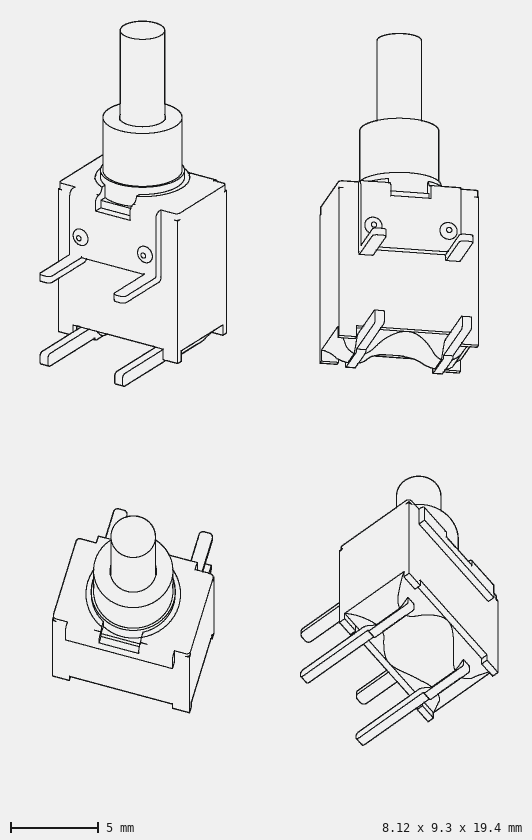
import cadquery as cq
import math


CASE_X = 8.12
CASE_Y = 5.08
CASE_BOTTOM = 0.55
RECESS_TOP = 1.2
FOOT_X = 1.0
FOOT_Y = 0.39

SHEET = 0.4
COVER_TOP = 9.85
COVER_CORNER_RADIUS = 0.23
BEND_RADIUS = 0.35
FRONT_FLAP_X = 5.85
FRONT_FLAP_THICKNESS = 0.55
FRONT_FLAP_BOTTOM = 5.84
BACK_FLAP_X = 6.35
BACK_FLAP_BOTTOM = 8.0
NOTCH_X = 2.35
NOTCH_BOTTOM = 8.98

PIN_TIP_Y = -6.36
MOUNT_PIN_X = 0.8
PIN_TIP_RADIUS = 0.25
MOUNT_PIN_OUTER_BEND = 0.23
MOUNT_PIN_INNER_BEND = 0.05

DIMPLE_SPACING = 4.38
DIMPLE_Z = 7.1
DIMPLE_RINGS = [(0.5, 0), (0.33, 0.1), (0.15, 0.17)]

NECK_DIAMETER = 5.4
NECK_TOP = 10.22
FLARE_RADIUS = 0.33
COLLAR_DIAMETER = 4.79
COLLAR_TOP = 10.66
BUSHING_DIAMETER = 4.52
BUSHING_TOP = 13.96
BORE_DIAMETER = 2.64

PLUNGER_DIAMETER = 2.54
PLUNGER_TOP = 19.39

TERMINAL_SPACING = 5.08
TERMINAL_X = 0.55
TERMINAL_TOP = 0.97
TERMINAL_STEP = 0.17
TERMINAL_FOOT_Y = 2.9
TERMINAL_FOOT_RADIUS = 0.14
MOUND_WAIST_Z = 0.43
MOUND_WAIST_X = 1.67
MOUND_WAIST_Y = 2.37
MOUND_CREST_Y = 1.63
MOUND_BOTTOM = 0.08

FRONT_Y = -CASE_Y / 2
BACK_Y = CASE_Y / 2
CASE_TOP = COVER_TOP - SHEET
FRONT_FLAP_Y = FRONT_Y - FRONT_FLAP_THICKNESS
BACK_FLAP_Y = BACK_Y + SHEET
ARCH_DROP = RECESS_TOP - MOUND_WAIST_Z
ARCH_HALF_SPAN = (TERMINAL_SPACING - MOUND_WAIST_X) / 2
ARCH_RADIUS = (ARCH_HALF_SPAN**2 + ARCH_DROP**2) / (2 * ARCH_DROP)


def block(x_range, y_range, z_range):
    """Box between the given limits on each axis."""
    low = (x_range[0], y_range[0], z_range[0])
    size = (x_range[1] - x_range[0], y_range[1] - y_range[0], z_range[1] - z_range[0])
    return cq.Workplane("XY").box(*size, centered=False).translate(low)


def centered_block(length_x, y_range, z_range):
    return block((-length_x / 2, length_x / 2), y_range, z_range)


def cylinder(diameter, z_bottom, z_top):
    return cq.Workplane("XY", origin=(0, 0, z_bottom)).circle(diameter / 2).extrude(z_top - z_bottom)


def make_case():
    """Rectangular case standing on four corner feet."""
    case = centered_block(CASE_X, (FRONT_Y, BACK_Y), (CASE_BOTTOM, CASE_TOP))
    recess_z = (CASE_BOTTOM, RECESS_TOP)
    slot_y = BACK_Y - FOOT_Y
    case = case.cut(centered_block(CASE_X - 2 * FOOT_X, (FRONT_Y, BACK_Y), recess_z))
    return case.cut(centered_block(CASE_X, (-slot_y, slot_y), recess_z))


def make_cover():
    """Sheet on top of the case with round corners and a flap on each long side."""
    sheet = centered_block(CASE_X, (FRONT_Y, BACK_Y), (CASE_TOP, COVER_TOP))
    sheet = sheet.edges("|Z").fillet(COVER_CORNER_RADIUS)
    front_flap = centered_block(FRONT_FLAP_X, (FRONT_FLAP_Y, FRONT_Y), (FRONT_FLAP_BOTTOM, COVER_TOP))
    front_flap = front_flap.edges("<Y and >Z").fillet(BEND_RADIUS)
    back_flap = centered_block(BACK_FLAP_X, (BACK_Y, BACK_FLAP_Y), (BACK_FLAP_BOTTOM, COVER_TOP))
    back_flap = back_flap.edges(">Y and >Z").fillet(BEND_RADIUS)
    return sheet.union(front_flap).union(back_flap)


def make_neck():
    """Neck that flares out into the flat part of the cover."""
    neck_radius = NECK_DIAMETER / 2
    flare_start = COVER_TOP + FLARE_RADIUS
    foot_radius = neck_radius + FLARE_RADIUS
    arc_offset = FLARE_RADIUS * (1 - math.sqrt(0.5))
    neck = (
        cq.Workplane("XZ")
        .moveTo(0, CASE_TOP)
        .lineTo(foot_radius, CASE_TOP)
        .lineTo(foot_radius, COVER_TOP)
        .threePointArc((neck_radius + arc_offset, COVER_TOP + arc_offset), (neck_radius, flare_start))
        .lineTo(neck_radius, NECK_TOP)
        .lineTo(0, NECK_TOP)
        .close()
        .revolve(360, (0, 0), (0, 1))
    )
    flat_y = (FRONT_FLAP_Y + BEND_RADIUS, BACK_FLAP_Y - BEND_RADIUS)
    return neck.intersect(centered_block(2 * foot_radius, flat_y, (CASE_TOP, NECK_TOP)))


def cut_notches(cover):
    """Notches in the middle of both bends, through the flaps, the sheet and the neck."""
    sheet_notch = centered_block(NOTCH_X, (FRONT_FLAP_Y, BACK_FLAP_Y), (CASE_TOP, NECK_TOP))
    front_notch = centered_block(NOTCH_X, (FRONT_FLAP_Y, FRONT_Y), (NOTCH_BOTTOM, COVER_TOP))
    back_notch = centered_block(NOTCH_X, (BACK_Y, BACK_FLAP_Y), (NOTCH_BOTTOM, COVER_TOP))
    return cover.cut(sheet_notch).cut(front_notch).cut(back_notch)


def make_mount_pin(side):
    """Pin bent forward from the lower edge of the front flap, flush with its side."""
    outer_x = side * FRONT_FLAP_X / 2
    pin_x = sorted((outer_x, outer_x - side * MOUNT_PIN_X))
    pin_z = (FRONT_FLAP_BOTTOM - SHEET, FRONT_FLAP_BOTTOM)
    pin = block(pin_x, (PIN_TIP_Y, FRONT_Y), pin_z)
    pin = pin.edges("|Z and <Y").fillet(PIN_TIP_RADIUS)
    pin = pin.edges("|X and >Y and <Z").fillet(MOUNT_PIN_OUTER_BEND)
    inner_bend = (
        cq.Workplane("YZ", origin=(pin_x[0], FRONT_FLAP_Y, FRONT_FLAP_BOTTOM))
        .lineTo(-MOUNT_PIN_INNER_BEND, 0)
        .radiusArc((0, MOUNT_PIN_INNER_BEND), -MOUNT_PIN_INNER_BEND)
        .close()
        .extrude(MOUNT_PIN_X)
    )
    return pin.union(inner_bend)


def make_dimple(side):
    """Low cone in two slopes, standing out from the face of the front flap."""
    outline = [(0, 0), *DIMPLE_RINGS, (0, DIMPLE_RINGS[-1][1])]
    plane = cq.Plane(
        origin=(side * DIMPLE_SPACING / 2, FRONT_FLAP_Y, DIMPLE_Z), xDir=(1, 0, 0), normal=(0, 0, 1)
    )
    outward_outline = [(radius, -height) for radius, height in outline]
    return cq.Workplane(plane).polyline(outward_outline).close().revolve(360, (0, 0), (0, 1))


def make_terminal(side):
    """Flat terminal with a deeper foot under the case and a long straight pin."""
    center_x = side * TERMINAL_SPACING / 2
    terminal_x = (center_x - TERMINAL_X / 2, center_x + TERMINAL_X / 2)
    foot_end = TERMINAL_FOOT_Y / 2
    pin = block(terminal_x, (PIN_TIP_Y, foot_end), (TERMINAL_STEP, TERMINAL_TOP))
    pin = pin.edges("|X and <Y").fillet(PIN_TIP_RADIUS)
    foot = block(terminal_x, (-foot_end, foot_end), (0, TERMINAL_TOP))
    foot = foot.edges("|X and <Z").fillet(TERMINAL_FOOT_RADIUS)
    return pin.union(foot)


def make_mound(side):
    """Sealant mound: a bell outline along X crossed with a bell outline along Y."""
    center_x = side * TERMINAL_SPACING / 2
    edge_x = side * CASE_X / 2
    inner_waist = center_x - side * MOUND_WAIST_X / 2
    outer_waist = center_x + side * MOUND_WAIST_X / 2
    across = (
        cq.Workplane("XZ", origin=(0, BACK_Y, 0))
        .moveTo(0, RECESS_TOP)
        .radiusArc((inner_waist, MOUND_WAIST_Z), side * ARCH_RADIUS)
        .threePointArc((center_x, MOUND_BOTTOM), (outer_waist, MOUND_WAIST_Z))
        .radiusArc((edge_x, RECESS_TOP), side * ARCH_RADIUS)
        .close()
        .extrude(CASE_Y)
    )
    waist_y = MOUND_WAIST_Y / 2
    crest_y = MOUND_CREST_Y / 2
    rim_y = BACK_Y - FOOT_Y
    along = (
        cq.Workplane("YZ", origin=(-CASE_X / 2, 0, 0))
        .moveTo(-rim_y, RECESS_TOP)
        .radiusArc((-waist_y, MOUND_WAIST_Z), ARCH_RADIUS)
        .lineTo(-crest_y, MOUND_BOTTOM)
        .lineTo(crest_y, MOUND_BOTTOM)
        .lineTo(waist_y, MOUND_WAIST_Z)
        .radiusArc((rim_y, RECESS_TOP), ARCH_RADIUS)
        .close()
        .extrude(CASE_X)
    )
    return across.intersect(along)


def make_housing():
    housing = make_case().union(cut_notches(make_cover().union(make_neck())))
    housing = housing.union(cylinder(COLLAR_DIAMETER, CASE_TOP, COLLAR_TOP))
    housing = housing.union(cylinder(BUSHING_DIAMETER, COLLAR_TOP, BUSHING_TOP))
    housing = housing.cut(cylinder(BORE_DIAMETER, CASE_TOP, BUSHING_TOP))
    for side in (-1, 1):
        housing = housing.union(make_mound(side))
        housing = housing.union(make_terminal(side))
        housing = housing.union(make_mount_pin(side))
        housing = housing.union(make_dimple(side))
    return housing


def make_plunger():
    """Round push rod standing on the floor of the bushing bore."""
    return cylinder(PLUNGER_DIAMETER, CASE_TOP, PLUNGER_TOP)


housing = make_housing()
plunger = make_plunger()
result = cq.Compound.makeCompound([housing.solids().val(), plunger.val()])